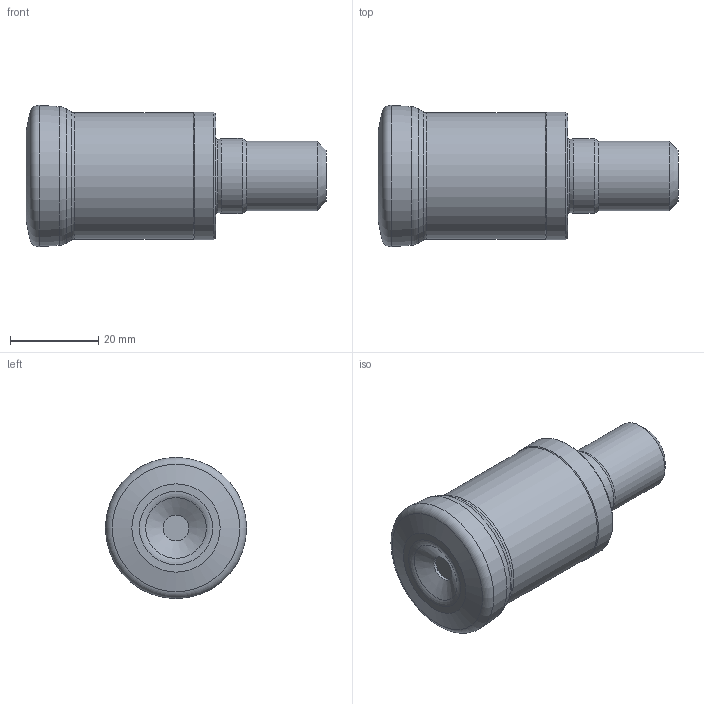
import cadquery as cq
import math


body_radius = 28.6 / 2
body_front_x = 3.3
flange_radius = 29.0 / 2
flange_start_x = 38.1
flange_end_x = 43.0
flange_front_chamfer = flange_radius - body_radius
flange_back_chamfer = 0.4
pilot_radius = 17.0 / 2
pilot_start_x = 44.3
pilot_end_x = 49.0
neck_fillet = 0.5
neck_radius = pilot_radius - 0.2
neck_start_x = flange_end_x + neck_fillet
stud_radius = 15.75 / 2
stud_start_x = 50.0
stud_end_x = 68.0
stud_chamfer = 2.0

cap_radius = 16.0
rim_x = 3.0
flat_ring_radius = 10.0
front_cone_x = 0.92
front_cone_radius = 14.45
side_taper_angle = 3.5
side_taper_end_x = 7.5
back_angle = 30.0
back_cone_start_x = 9.1
back_cone_end_x = 10.3
cap_end_x = 11.1

recess_mouth_radius = 8.3
recess_cone_angle = 30.0
recess_cone_radius = 6.87
bore_radius = 2.9


def rise(length, angle):
    """Height gained over a length along a line sloping at an angle in degrees."""
    return length * math.tan(math.radians(angle))


def turn(profile):
    """Revolve a half-profile about the X axis."""
    return profile.close().revolve(360, (0, 0, 0), (1, 0, 0))


def make_cap():
    side_taper_radius = cap_radius - rise(side_taper_end_x - rim_x, side_taper_angle)
    back_cone_end_radius = body_radius + rise(cap_end_x - back_cone_end_x, back_angle / 2)
    back_cone_start_radius = back_cone_end_radius + rise(back_cone_end_x - back_cone_start_x, back_angle)
    lip_x = rise(recess_mouth_radius - recess_cone_radius, recess_cone_angle / 2)
    bore_start_x = lip_x + rise(recess_cone_radius - bore_radius, recess_cone_angle)

    profile = (
        cq.Workplane("XY")
        .moveTo(cap_end_x, body_radius)
        .lineTo(body_front_x, body_radius)
        .lineTo(body_front_x, bore_radius)
        .lineTo(bore_start_x, bore_radius)
        .lineTo(lip_x, recess_cone_radius)
        .tangentArcPoint((0, recess_mouth_radius), relative=False)
        .lineTo(0, flat_ring_radius)
        .lineTo(front_cone_x, front_cone_radius)
        .tangentArcPoint((rim_x, cap_radius), relative=False)
        .lineTo(side_taper_end_x, side_taper_radius)
        .tangentArcPoint((back_cone_start_x, back_cone_start_radius), relative=False)
        .lineTo(back_cone_end_x, back_cone_end_radius)
        .tangentArcPoint((cap_end_x, body_radius), relative=False)
    )
    return turn(profile)


def make_holder():
    profile = (
        cq.Workplane("XY")
        .moveTo(body_front_x, 0)
        .lineTo(body_front_x, body_radius)
        .lineTo(flange_start_x - flange_front_chamfer, body_radius)
        .lineTo(flange_start_x, flange_radius)
        .lineTo(flange_end_x - flange_back_chamfer, flange_radius)
        .lineTo(flange_end_x, flange_radius - flange_back_chamfer)
        .lineTo(flange_end_x, neck_radius + neck_fillet)
        .tangentArcPoint((neck_start_x, neck_radius), relative=False)
        .lineTo(pilot_start_x, pilot_radius)
        .lineTo(pilot_end_x, pilot_radius)
        .lineTo(stud_start_x, stud_radius)
        .lineTo(stud_end_x - stud_chamfer, stud_radius)
        .lineTo(stud_end_x, stud_radius - stud_chamfer)
        .lineTo(stud_end_x, 0)
    )
    return turn(profile)


cap = make_cap()
holder = make_holder()
result = cq.Compound.makeCompound([cap.val(), holder.val()])